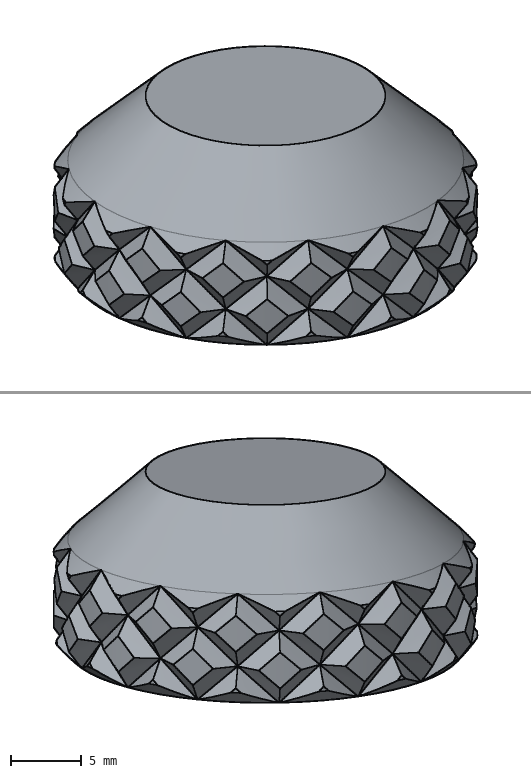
import cadquery as cq
import math

outer_radius = 15.0
top_radius = 8.5
total_height = 13.0

band_height = 8.0
rim_chamfer = 1.0
valley_radius = outer_radius - rim_chamfer
diamonds_around = 15
rows_in_band = 3
land_share = 0.5

row_height = band_height / rows_in_band
half_pitch = 180.0 / diamonds_around

trim_allowance = 0.3
stud_radius = outer_radius + trim_allowance
stud_rise = stud_radius - valley_radius
stud_top_share = 1 - (1 - land_share) * stud_rise / rim_chamfer


def knurl_point(radius, row, step):
    """Point at a height counted in rows and an angle counted in half pitches."""
    angle = math.radians(step * half_pitch)
    return cq.Vector(radius * math.cos(angle), radius * math.sin(angle), row * row_height)


def triangle(*corners):
    return cq.Face.makeFromWires(cq.Wire.makePolygon(corners, close=True))


def diamond(radius, row, step, share):
    """Left, lower, right and upper corners of a diamond around a knurl position."""
    return [
        knurl_point(radius, row, step - share),
        knurl_point(radius, row - share, step),
        knurl_point(radius, row, step + share),
        knurl_point(radius, row + share, step),
    ]


def stud_faces(row, step):
    """Four twisted flanks between the valleys and the stud top, and the top itself."""
    base = diamond(valley_radius, row, step, 1)
    top = diamond(stud_radius, row, step, stud_top_share)
    left, lower, right, upper = top
    faces = [triangle(left, lower, upper), triangle(lower, right, upper)]
    for corner in range(4):
        valley = cq.Edge.makeLine(base[corner - 1], base[corner])
        crest = cq.Edge.makeLine(top[corner - 1], top[corner])
        faces.append(cq.Face.makeRuledSurface(valley, crest))
    return faces


def is_stud(row, step):
    """Studs and valley crossings alternate; a crossing sits on +X at the band's top edge."""
    return (row + step) % 2 != rows_in_band % 2


def end_faces(end_row, inner_row):
    """Fan from the axis to the zigzag of valleys that bounds the outermost studs."""
    center = knurl_point(0, end_row, 0)
    rim = []
    for step in range(2 * diamonds_around + 1):
        row = inner_row if is_stud(end_row, step) else end_row
        rim.append(knurl_point(valley_radius, row, step))
    return [triangle(center, first, second) for first, second in zip(rim, rim[1:])]


def diamond_knurl():
    """Studded body that reaches one row past both ends of the band."""
    faces = end_faces(-1, 0) + end_faces(rows_in_band + 1, rows_in_band)
    for row in range(rows_in_band + 1):
        for step in range(2 * diamonds_around):
            if is_stud(row, step):
                faces += stud_faces(row, step)
    return cq.Workplane(obj=cq.Solid.makeSolid(cq.Shell.makeShell(faces)))


def chamfered_band():
    return cq.Workplane().circle(outer_radius).extrude(band_height).edges().chamfer(rim_chamfer)


def tapered_top():
    profile = [
        (0, band_height),
        (valley_radius, band_height),
        (top_radius, total_height),
        (0, total_height),
    ]
    return cq.Workplane("XZ").polyline(profile).close().revolve(360, (0, 0, 0), (0, 1, 0))


result = chamfered_band().intersect(diamond_knurl()).union(tapered_top())